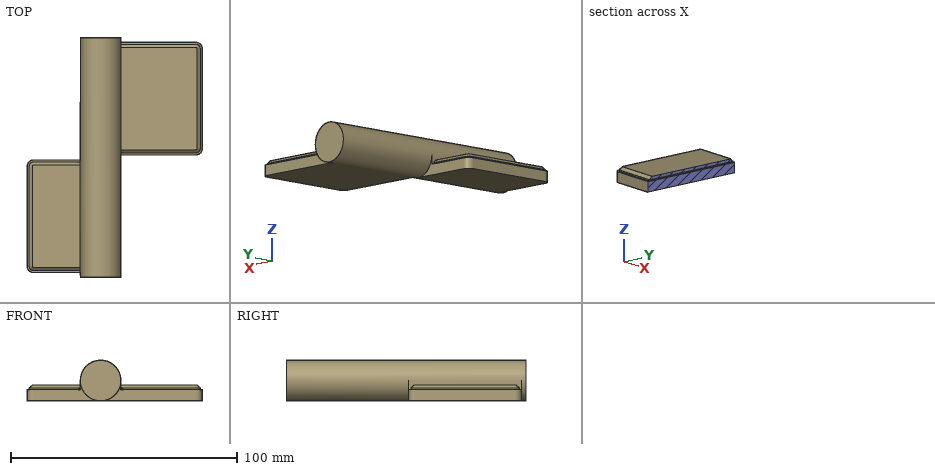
import cadquery as cq

pin_length = 105.9
pin_diameter = 18.0
pin_radius = pin_diameter / 2

short_reach = 32.5
long_reach = 45.0
leaf_width = 49.9
leaf_thickness = 5.0
leaf_corner_radius = 3.0
leaf_end_margin = 2.0
leaf_center_y = pin_length / 2 - leaf_end_margin - leaf_width / 2

pad_inset = 1.0
pad_height = 2.0
pad_chamfer = 1.4
undercut = 1.0


def make_pin():
    """Solid round barrel centred on the Y axis."""
    return (
        cq.Workplane("XZ", origin=(0, pin_length / 2, pin_radius))
        .circle(pin_radius)
        .extrude(pin_length)
    )


def make_slab(inner_x, outer_x, width, height, base_z, corner_radius):
    """Plate centred on Y = 0 with its two outer corners rounded."""
    return (
        cq.Workplane("XY", origin=((inner_x + outer_x) / 2, 0, base_z))
        .box(outer_x - inner_x, width, height, centered=(True, True, False))
        .edges("|Z and >X")
        .fillet(corner_radius)
    )


def make_leaf(reach):
    """Leaf pointing along +X: plate, raised pad and the block joining it to the pin."""
    plate = make_slab(0, reach, leaf_width, leaf_thickness, 0, leaf_corner_radius)
    pad = make_slab(
        pin_radius,
        reach - pad_inset,
        leaf_width - 2 * pad_inset,
        pad_height,
        leaf_thickness,
        leaf_corner_radius - pad_inset,
    )
    pad = pad.faces("<Z").edges("<X").chamfer(undercut)
    pad = pad.faces(">Z").edges("not <X").chamfer(pad_chamfer)
    block = cq.Workplane("XY").box(pin_radius, leaf_width, pin_radius, centered=(False, True, False))
    return plate.union(pad).union(block)


long_leaf = make_leaf(long_reach).translate((0, leaf_center_y, 0))
short_leaf = make_leaf(short_reach).rotate((0, 0, 0), (0, 0, 1), 180).translate((0, -leaf_center_y, 0))

result = make_pin().union(long_leaf).union(short_leaf)